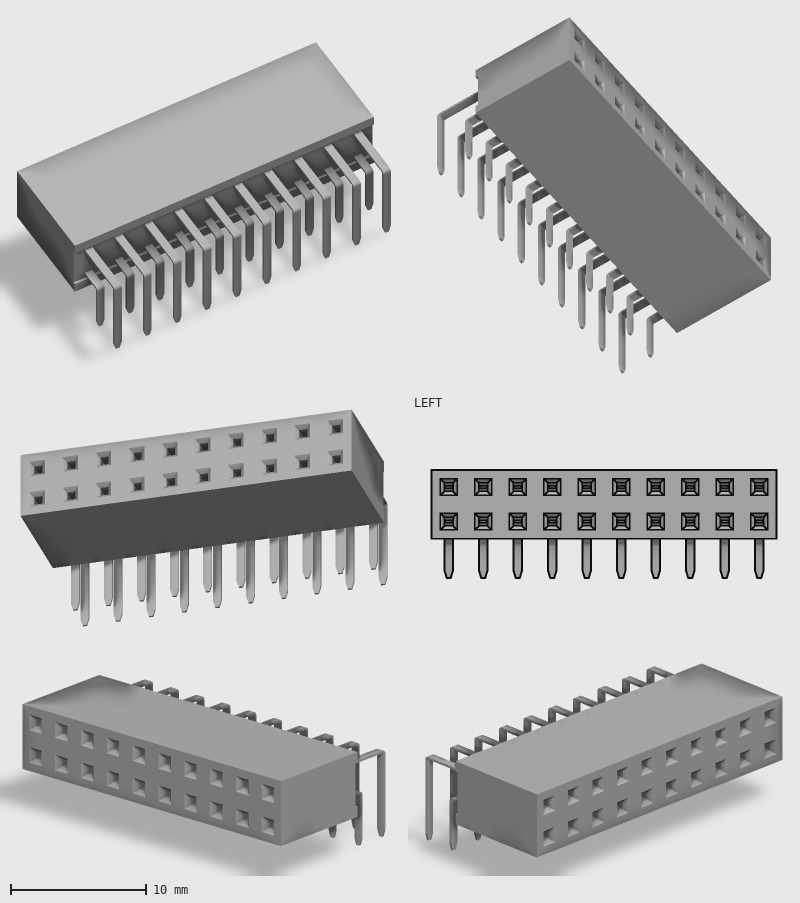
import cadquery as cq

PITCH = 2.55
PINS_PER_ROW = 10
ROWS = 2
HOUSING_LENGTH = PITCH * PINS_PER_ROW
HOUSING_HEIGHT = PITCH * ROWS
HOUSING_DEPTH = 8.5

RECESS_DEPTH = 0.2
LIP_HEIGHT = 0.85
RECESS_FLOOR = HOUSING_DEPTH - RECESS_DEPTH

MOUTH_WIDTH = 1.22
BORE_WIDTH = 0.64
FUNNEL_DEPTH = 0.3
BORE_DEPTH = 6.1

PIN_WIDTH = 0.64
PIN_THICKNESS = 0.19
BEND_RADIUS = 0.28
PIN_REACH = 12.67
TOTAL_HEIGHT = 7.98
TIP_LENGTH = 0.55
LEG_TIP_WIDTH = 0.3
BLADE_TIP_WIDTH = 0.48

PIN_BOTTOM = HOUSING_HEIGHT / 2 - TOTAL_HEIGHT
ROW_HEIGHTS = [PITCH * (row - (ROWS - 1) / 2) for row in range(ROWS)]
PIN_PLACES = [PITCH * (pin - (PINS_PER_ROW - 1) / 2) for pin in range(PINS_PER_ROW)]


def make_housing():
    block = cq.Workplane("YZ").rect(HOUSING_LENGTH, HOUSING_HEIGHT).extrude(HOUSING_DEPTH)
    recess = (
        cq.Workplane("YZ", origin=(RECESS_FLOOR, 0, 0))
        .rect(HOUSING_LENGTH, HOUSING_HEIGHT - 2 * LIP_HEIGHT)
        .extrude(RECESS_DEPTH)
    )
    return block.cut(recess)


def make_socket():
    """Cavity centred on the X axis, opening at X = 0."""
    funnel = (
        cq.Workplane("YZ")
        .rect(MOUTH_WIDTH, MOUTH_WIDTH)
        .workplane(offset=FUNNEL_DEPTH)
        .rect(BORE_WIDTH, BORE_WIDTH)
        .loft(ruled=True)
    )
    bore = cq.Workplane("YZ").rect(BORE_WIDTH, BORE_WIDTH).extrude(BORE_DEPTH)
    return funnel.union(bore)


def make_tip(plane, tip_width):
    """Tapered strip end, thickness along the plane's local Y, narrowing along its normal."""
    return (
        cq.Workplane(plane)
        .rect(PIN_WIDTH, PIN_THICKNESS)
        .workplane(offset=TIP_LENGTH)
        .rect(tip_width, PIN_THICKNESS)
        .loft(ruled=True)
    )


def make_pin(row_height):
    """Bent pin at Y = 0 with its arm at row_height; higher rows reach further out."""
    outer_x = PIN_REACH - (ROW_HEIGHTS[-1] - row_height)
    inner_x = outer_x - PIN_THICKNESS
    arm_top = row_height + PIN_THICKNESS / 2
    arm_bottom = row_height - PIN_THICKNESS / 2
    leg_end = PIN_BOTTOM + TIP_LENGTH
    strip = (
        cq.Workplane("XZ")
        .moveTo(BORE_DEPTH, arm_top)
        .lineTo(outer_x - BEND_RADIUS, arm_top)
        .radiusArc((outer_x, arm_top - BEND_RADIUS), BEND_RADIUS)
        .lineTo(outer_x, leg_end)
        .lineTo(inner_x, leg_end)
        .lineTo(inner_x, arm_top - BEND_RADIUS)
        .radiusArc((outer_x - BEND_RADIUS, arm_bottom), PIN_THICKNESS - BEND_RADIUS)
        .lineTo(BORE_DEPTH, arm_bottom)
        .close()
        .extrude(PIN_WIDTH / 2, both=True)
    )
    leg_middle = (outer_x + inner_x) / 2
    leg_plane = cq.Plane(origin=(leg_middle, 0, leg_end), xDir=(0, 1, 0), normal=(0, 0, -1))
    blade_plane = cq.Plane(origin=(BORE_DEPTH, 0, row_height), xDir=(0, 1, 0), normal=(-1, 0, 0))
    leg_tip = make_tip(leg_plane, LEG_TIP_WIDTH)
    blade_tip = make_tip(blade_plane, BLADE_TIP_WIDTH)
    return strip.union(leg_tip).union(blade_tip)


result = make_housing()
socket = make_socket()
for height in ROW_HEIGHTS:
    pin = make_pin(height)
    for place in PIN_PLACES:
        result = result.cut(socket.translate((0, place, height)))
        result = result.union(pin.translate((0, place, 0)))